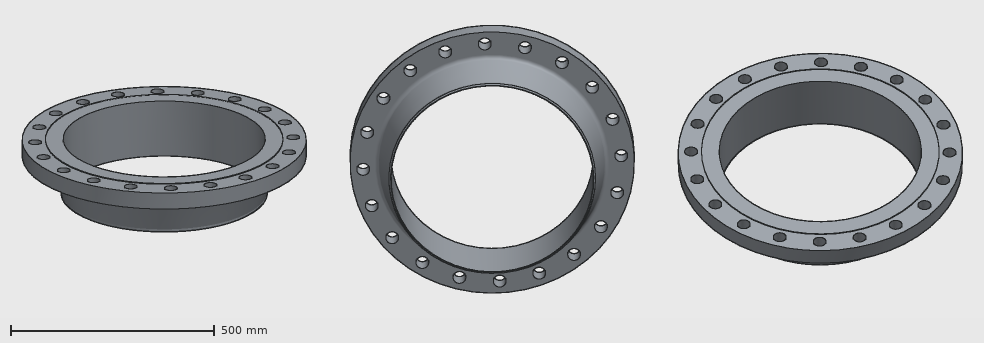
import cadquery as cq

flange_diameter = 698.5
overall_height = 146.0
raised_face_diameter = 584.0
raised_face_height = 2.0
rim_thickness = 42.5

bore_diameter = 496.5
pipe_diameter = 508.0
hub_diameter = 559.0
neck_height = 8.5
weld_land = 1.5
weld_bevel_height = 3.0
hub_fillet = 11.0

bolt_count = 20
bolt_circle_diameter = 635.0
bolt_hole_diameter = 31.5

flange_radius = flange_diameter / 2
pipe_radius = pipe_diameter / 2
bore_radius = bore_diameter / 2
raised_face_radius = raised_face_diameter / 2
hub_radius = hub_diameter / 2
rim_top = overall_height - raised_face_height
rim_bottom = rim_top - rim_thickness


def make_body():
    """Revolve the half section, then round the corner between hub and rim."""
    body = (
        cq.Workplane("XZ")
        .moveTo(bore_radius, 0)
        .lineTo(bore_radius + weld_land, 0)
        .lineTo(pipe_radius, weld_bevel_height)
        .lineTo(pipe_radius, neck_height)
        .lineTo(hub_radius, rim_bottom)
        .lineTo(flange_radius, rim_bottom)
        .lineTo(flange_radius, rim_top)
        .lineTo(raised_face_radius, rim_top)
        .lineTo(raised_face_radius, overall_height)
        .lineTo(bore_radius, overall_height)
        .close()
        .revolve(360, (0, 0, 0), (0, 1, 0))
    )
    underside_point = ((hub_radius + flange_radius) / 2, 0, rim_bottom)
    underside = body.faces(cq.selectors.NearestToPointSelector(underside_point))
    inner_edge = cq.selectors.RadiusNthSelector(0)
    return underside.edges(inner_edge).fillet(hub_fillet)


def make_bolt_holes():
    """Cylinders on the bolt circle, one of them on the X axis."""
    return (
        cq.Workplane("XY", origin=(0, 0, rim_bottom))
        .polarArray(bolt_circle_diameter / 2, 0, 360, bolt_count)
        .circle(bolt_hole_diameter / 2)
        .extrude(rim_thickness)
    )


result = make_body().cut(make_bolt_holes())